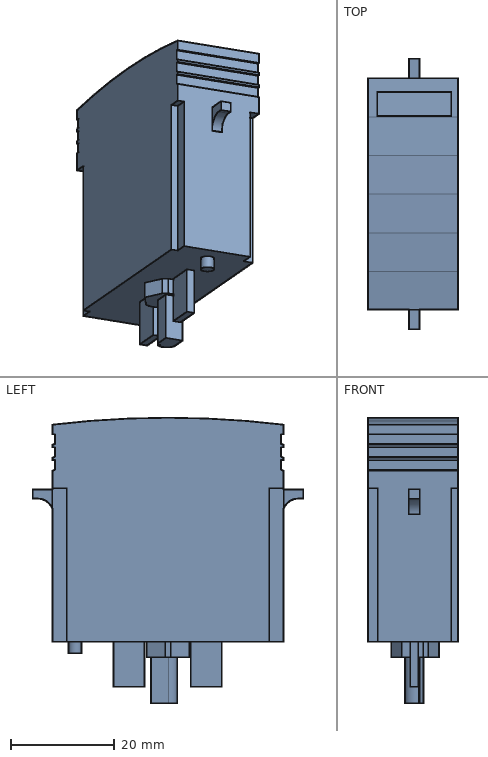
import cadquery as cq
import math

HOUSING_WIDTH = 17.5
HOUSING_LENGTH = 44.8
HALF_LENGTH = HOUSING_LENGTH / 2
TOP_HEIGHT = 43.4
TOP_END_HEIGHT = 42.05
TOP_FACETS = 6
FACET_LENGTH = HOUSING_LENGTH / TOP_FACETS
CENTRE_X = 0.25

GRIP_TOP = 40.15
GRIP_PITCH = 2.5
GRIP_COUNT = 3
GRIP_DEPTH = 0.5
GRIP_FLOOR_HEIGHT = 1.8
GRIP_SLOPE_HEIGHT = 0.25

NOTCH_HEIGHT = 29.7
NOTCH_LENGTH = 2.85
LEFT_NOTCH_WIDTH = 1.95
RIGHT_NOTCH_WIDTH = 1.35

HOOK_WIDTH = 2.1
HOOK_TIP_Y = 26.2
HOOK_TOP = 29.5
HOOK_THICKNESS = 1.8
HOOK_RADIUS = 3.0
HOOK_RECESS_DEPTH = 0.2
HOOK_RECESS_FLOOR = HOOK_TOP - HOOK_THICKNESS - HOOK_RADIUS
HOOK_ROOT_Y = HALF_LENGTH - HOOK_RECESS_DEPTH

WINDOW_WIDTH = 14.3
WINDOW_LENGTH = 4.65
WINDOW_CENTRE_Y = 17.45
WINDOW_DEPTH = 0.5

COLLAR_CORNER_RADIUS = 4.8
COLLAR_CUT_DISTANCE = 4.48
COLLAR_HEIGHT = 3.0

KEY_RADIUS = 1.8
KEY_BACK_Y = 3.3
KEY_LENGTH = 11.9
KEY_SLIT_WIDTH = 0.2
KEY_SLIT_OFFSET = 1.0
KEY_SLIT_DEPTH = 0.4

BLADE_THICKNESS = 1.6
BLADE_WIDTH = 6.05
BLADE_LENGTH = 8.7
BLADE_CENTRES_Y = (-7.4, 7.55)
PEG_DIAMETER = 2.55
PEG_LENGTH = 2.25
PEG_Y = 18.0


def top_height(y):
    """Height of the circle that carries the corners of the top facets."""
    rise = TOP_HEIGHT - TOP_END_HEIGHT
    radius = (HALF_LENGTH**2 + rise**2) / (2 * rise)
    return TOP_HEIGHT - radius + math.sqrt(radius**2 - y**2)


def extrude_across(profile, width, centre_x):
    """Extrude a profile of the YZ plane symmetrically about centre_x."""
    return profile.extrude(width / 2, both=True).translate((centre_x, 0, 0))


def both_ends(end_part):
    """Join a shape at the +Y end with its mirror image at the -Y end."""
    return end_part.union(end_part.mirror("XZ"))


def make_housing():
    ridge = [-HALF_LENGTH + i * FACET_LENGTH for i in range(TOP_FACETS + 1)]
    outline = [(y, top_height(y)) for y in ridge]
    outline += [(HALF_LENGTH, 0), (-HALF_LENGTH, 0)]
    return extrude_across(cq.Workplane("YZ").polyline(outline).close(), HOUSING_WIDTH, 0)


def make_grip_grooves():
    floor_y = HALF_LENGTH - GRIP_DEPTH
    grooves = cq.Workplane("YZ")
    for i in range(GRIP_COUNT):
        top = GRIP_TOP - i * GRIP_PITCH
        floor_end = top - GRIP_FLOOR_HEIGHT
        profile = [
            (HALF_LENGTH, top),
            (floor_y, top),
            (floor_y, floor_end),
            (HALF_LENGTH, floor_end - GRIP_SLOPE_HEIGHT),
        ]
        groove = cq.Workplane("YZ").polyline(profile).close()
        grooves = grooves.add(extrude_across(groove, HOUSING_WIDTH, 0))
    return both_ends(grooves.combine())


def make_corner_notches():
    notches = cq.Workplane("XY")
    for side, width in ((-1, LEFT_NOTCH_WIDTH), (1, RIGHT_NOTCH_WIDTH)):
        x = side * (HOUSING_WIDTH - width) / 2
        y = HALF_LENGTH - NOTCH_LENGTH / 2
        notch = cq.Workplane("XY").box(width, NOTCH_LENGTH, NOTCH_HEIGHT, centered=(True, True, False))
        notches = notches.add(notch.translate((x, y, 0)))
    return both_ends(notches.combine())


def make_hook_recesses():
    corners = [
        (HOOK_ROOT_Y, HOOK_RECESS_FLOOR),
        (HALF_LENGTH, HOOK_RECESS_FLOOR),
        (HALF_LENGTH, HOOK_TOP),
        (HOOK_ROOT_Y, HOOK_TOP),
    ]
    return both_ends(extrude_across(cq.Workplane("YZ").polyline(corners).close(), HOOK_WIDTH, CENTRE_X))


def make_hooks():
    underside = HOOK_TOP - HOOK_THICKNESS
    arc_start_y = HOOK_ROOT_Y + HOOK_RADIUS
    profile = (
        cq.Workplane("YZ")
        .moveTo(HOOK_ROOT_Y, HOOK_TOP)
        .lineTo(HOOK_TIP_Y, HOOK_TOP)
        .lineTo(HOOK_TIP_Y, underside)
        .lineTo(arc_start_y, underside)
        .radiusArc((HOOK_ROOT_Y, HOOK_RECESS_FLOOR), -HOOK_RADIUS)
        .close()
    )
    return both_ends(extrude_across(profile, HOOK_WIDTH, CENTRE_X))


def make_window():
    """Pocket sunk square to the sloping rear facet."""
    inner_y = HALF_LENGTH - FACET_LENGTH
    drop = top_height(inner_y) - TOP_END_HEIGHT
    slope = math.degrees(math.atan2(drop, FACET_LENGTH))
    centre_z = TOP_END_HEIGHT + drop * (HALF_LENGTH - WINDOW_CENTRE_Y) / FACET_LENGTH
    pocket = cq.Workplane("XY").box(WINDOW_WIDTH, WINDOW_LENGTH, 2 * WINDOW_DEPTH)
    pocket = pocket.rotate((0, 0, 0), (1, 0, 0), -slope)
    return pocket.translate((CENTRE_X, WINDOW_CENTRE_Y, centre_z))


def make_collar():
    collar = cq.Workplane("XY").polygon(6, 2 * COLLAR_CORNER_RADIUS).extrude(-COLLAR_HEIGHT)
    cutter_size = 2 * COLLAR_CORNER_RADIUS
    cutter = cq.Workplane("XY").box(cutter_size, cutter_size, 3 * COLLAR_HEIGHT)
    cutter = cutter.translate((COLLAR_CUT_DISTANCE + cutter_size / 2, 0, 0))
    for angle in (60, 180, 300):
        collar = collar.cut(cutter.rotate((0, 0, 0), (0, 0, 1), angle))
    return collar.translate((CENTRE_X, 0, 0))


def make_key_pin():
    pin = (
        cq.Workplane("XY")
        .moveTo(-KEY_RADIUS, KEY_BACK_Y)
        .lineTo(-KEY_RADIUS, 0)
        .threePointArc((0, -KEY_RADIUS), (KEY_RADIUS, 0))
        .lineTo(KEY_RADIUS, KEY_BACK_Y)
        .close()
        .extrude(-KEY_LENGTH)
    )
    round_y = -math.sqrt(KEY_RADIUS**2 - KEY_SLIT_OFFSET**2)
    slit_length = KEY_LENGTH - COLLAR_HEIGHT
    slit = cq.Workplane("XY").box(KEY_SLIT_WIDTH, 2 * KEY_SLIT_DEPTH, slit_length)
    slit = slit.translate((KEY_SLIT_OFFSET, round_y, -COLLAR_HEIGHT - slit_length / 2))
    return pin.cut(slit).translate((CENTRE_X, 0, 0))


def make_blade(centre_y):
    blade = cq.Workplane("XY").center(CENTRE_X, centre_y).rect(BLADE_THICKNESS, BLADE_WIDTH)
    return blade.extrude(-BLADE_LENGTH)


def make_peg():
    return cq.Workplane("XY").center(CENTRE_X, PEG_Y).circle(PEG_DIAMETER / 2).extrude(-PEG_LENGTH)


result = make_housing()
for cut_shape in (make_grip_grooves(), make_corner_notches(), make_hook_recesses(), make_window()):
    result = result.cut(cut_shape)
for added_shape in (make_hooks(), make_collar(), make_key_pin(), make_peg()):
    result = result.union(added_shape)
for blade_y in BLADE_CENTRES_Y:
    result = result.union(make_blade(blade_y))